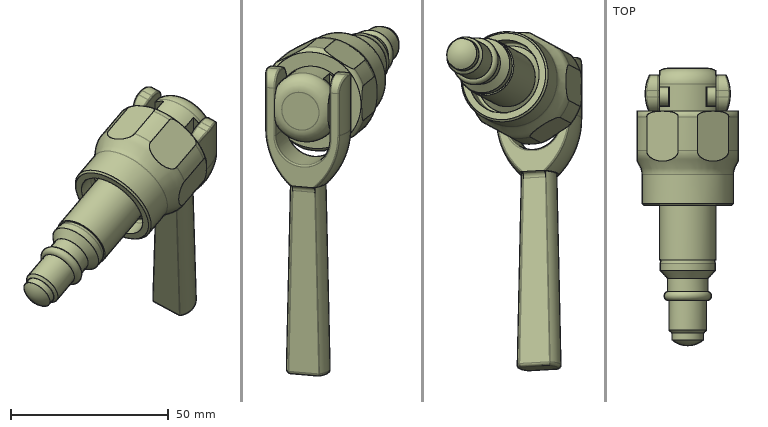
import cadquery as cq
import math


TOTAL_LENGTH = 87.86
TOTAL_HEIGHT = 104.8
KNOB_END_Y = 13.5
TIP_Y = KNOB_END_Y - TOTAL_LENGTH

NUT_FLATS = 32.0
NUT_R = 17.0
NUT_BACK_R = 15.8
NUT_BACK_ROUND_Y = -1.9
NUT_BACK_BULGE = 0.25
NUT_STRAIGHT_END_Y = -12.6
SLEEVE_R = 29.0 / 2
SLEEVE_START_Y = -20.1
SLEEVE_END_Y = -29.9
SLEEVE_CHAMFER = 0.6
BORE_R = 23.4 / 2
BORE_FLOOR_Y = -23.8
BORE_FLOOR_R = 10.8
SHAFT_FLARE_Y = -25.6

SHAFT_R = 18.0 / 2
SHAFT_END_Y = -47.2
COLLAR_R = 17.5 / 2
COLLAR_LEAD_R = 8.5
COLLAR_LEAD_Y = -48.3
COLLAR_END_Y = -50.5
NECK_R = 12.9 / 2
NECK_START_Y = -53.0
RING_CENTER_Y = -58.6
RING_SECTION_R = 3.0 / 2
RING_R = 15.0 / 2
NOSE_R = 12.0 / 2
NOSE_END_Y = -69.4
NOSE_CHAMFER = 0.9
TIP_R = 10.0 / 2
TIP_DOME = 1.9

KNOB_R = 11.2
KNOB_FILLET = 5.0
KNOB_FLATS = 17.8
PIN_Y = 4.5
PIN_R = 6.0 / 2
PIN_INNER_X = 6.1
PIN_EMBED = 1.0
SLOT_WIDTH = 6.2
SLOT_FLOOR_X = 5.75

LEVER_Y = 5.4
FORK_THICKNESS = 12.0
FORK_HALF_WIDTH = 13.5
FORK_SIDE_BULGE = 1.4
FORK_ARC_R = 25.0
FORK_ARC_Z = -7.6
FORK_TOP_Z = 11.2
FORK_TOP_ROUND = 5.0
FORK_BOTTOM_Z = -25.4
FORK_SLOT_R = 18.0 / 2
FORK_SLOT_Z = -9.4
FORK_EDGE_ROUND = 0.5
HANDLE_THICKNESS = 9.2
HANDLE_SIDE_BULGE = 1.9
HANDLE_TOP_HALF_WIDTH = 5.6
HANDLE_BOTTOM_HALF_WIDTH = 7.0
HANDLE_BOTTOM_Z = NUT_R - TOTAL_HEIGHT
HANDLE_END_ROUND = 1.0
HANDLE_EDGE_ROUND = 0.3
SHOULDER_HEIGHT = 0.9
SHOULDER_ROUND = 1.8
SHOULDER_DEPTH = 2.0


def revolve_about_shaft(profile):
    """Turn a closed profile, drawn as (radius, y), about the Y axis."""
    return profile.close().revolve(360, (0, 0, 0), (0, 1, 0))


def box(x_range, y_range, z_range):
    """Box spanning the given coordinate ranges."""
    (x0, x1), (y0, y1), (z0, z1) = x_range, y_range, z_range
    return cq.Workplane("XY").box(x1 - x0, y1 - y0, z1 - z0, centered=False).translate((x0, y0, z0))


def make_nut():
    """Hexagon nut that narrows in a smooth curve to a bored round sleeve."""
    back_mid = ((NUT_R + NUT_BACK_R) / 2 + NUT_BACK_BULGE, NUT_BACK_ROUND_Y / 2 + NUT_BACK_BULGE)
    floor_round = BORE_R - BORE_FLOOR_R
    nut = revolve_about_shaft(
        cq.Workplane("XY")
        .lineTo(NUT_BACK_R, 0)
        .threePointArc(back_mid, (NUT_R, NUT_BACK_ROUND_Y))
        .lineTo(NUT_R, NUT_STRAIGHT_END_Y)
        .spline([(SLEEVE_R, SLEEVE_START_Y)], tangents=[(0, -1), (0, -1)], includeCurrent=True)
        .lineTo(SLEEVE_R, SLEEVE_END_Y + SLEEVE_CHAMFER)
        .lineTo(SLEEVE_R - SLEEVE_CHAMFER, SLEEVE_END_Y)
        .lineTo(BORE_R, SLEEVE_END_Y)
        .lineTo(BORE_R, BORE_FLOOR_Y - floor_round)
        .radiusArc((BORE_FLOOR_R, BORE_FLOOR_Y), -floor_round)
        .lineTo(SHAFT_R, SHAFT_FLARE_Y)
        .lineTo(0, SHAFT_FLARE_Y)
    )
    hexagon = cq.Workplane("XZ").polygon(6, NUT_FLATS, circumscribed=True).extrude(-SLEEVE_END_Y)
    return nut.intersect(hexagon)


def dome_point():
    """Point on the tip dome halfway between its rim and its centre."""
    sphere_r = (TIP_R**2 + TIP_DOME**2) / (2 * TIP_DOME)
    half_angle = math.asin(TIP_R / sphere_r) / 2
    return (sphere_r * math.sin(half_angle), TIP_Y + sphere_r * (1 - math.cos(half_angle)))


def make_shaft():
    """Stepped shaft with a sealing ring and a domed tip."""
    shaft = revolve_about_shaft(
        cq.Workplane("XY")
        .lineTo(SHAFT_R, 0)
        .lineTo(SHAFT_R, SHAFT_END_Y)
        .lineTo(COLLAR_LEAD_R, SHAFT_END_Y)
        .lineTo(COLLAR_R, COLLAR_LEAD_Y)
        .lineTo(COLLAR_R, COLLAR_END_Y)
        .lineTo(NECK_R, NECK_START_Y)
        .lineTo(NECK_R, RING_CENTER_Y)
        .lineTo(NOSE_R, RING_CENTER_Y)
        .lineTo(NOSE_R, NOSE_END_Y)
        .lineTo(NOSE_R - NOSE_CHAMFER, NOSE_END_Y - NOSE_CHAMFER)
        .lineTo(TIP_R, NOSE_END_Y - NOSE_CHAMFER)
        .lineTo(TIP_R, TIP_Y + TIP_DOME)
        .threePointArc(dome_point(), (0, TIP_Y))
    )
    ring_center_r = RING_R - RING_SECTION_R
    ring = revolve_about_shaft(
        cq.Workplane("XY")
        .moveTo(ring_center_r, RING_CENTER_Y - RING_SECTION_R)
        .threePointArc((RING_R, RING_CENTER_Y), (ring_center_r, RING_CENTER_Y + RING_SECTION_R))
    )
    return shaft.union(ring)


def make_knob():
    """Round knob with two side flats and an open-topped pin slot in each flat."""
    knob = cq.Workplane("XZ").circle(KNOB_R).extrude(-KNOB_END_Y).faces(">Y").edges().fillet(KNOB_FILLET)
    knob = knob.intersect(cq.Workplane("XY").box(KNOB_FLATS, 4 * KNOB_END_Y, 4 * KNOB_R))
    slot_y = (PIN_Y - SLOT_WIDTH / 2, PIN_Y + SLOT_WIDTH / 2)
    for side in (-1, 1):
        x_range = sorted((side * SLOT_FLOOR_X, side * KNOB_R))
        slot = box(x_range, slot_y, (0, KNOB_R))
        slot_end = (
            cq.Workplane("YZ", origin=(x_range[0], PIN_Y, 0))
            .circle(SLOT_WIDTH / 2)
            .extrude(x_range[1] - x_range[0])
        )
        knob = knob.cut(slot).cut(slot_end)
    return knob


def bulged_section(half_width, thickness, bulge, z):
    """Flat-faced lever section with bulged sides, drawn at height z."""
    half_thickness = thickness / 2
    edge = half_width - bulge
    return (
        cq.Workplane("XY", origin=(0, LEVER_Y, z))
        .moveTo(-edge, -half_thickness)
        .lineTo(edge, -half_thickness)
        .threePointArc((half_width, 0), (edge, half_thickness))
        .lineTo(-edge, half_thickness)
        .threePointArc((-half_width, 0), (-edge, -half_thickness))
        .close()
    )


def make_fork_arc(side):
    """Disc with a bulged rim whose edge forms the lower side of the fork."""
    rim = FORK_ARC_R - FORK_SIDE_BULGE
    half_thickness = FORK_THICKNESS / 2
    return (
        cq.Workplane("XY")
        .moveTo(0, -half_thickness)
        .lineTo(rim, -half_thickness)
        .threePointArc((FORK_ARC_R, 0), (rim, half_thickness))
        .lineTo(0, half_thickness)
        .close()
        .revolve(360, (0, 0, 0), (0, 1, 0))
        .translate((side * (FORK_HALF_WIDTH - FORK_ARC_R), LEVER_Y, FORK_ARC_Z))
    )


def make_fork():
    """Two rounded arms around the knob that join below it."""
    arms = bulged_section(FORK_HALF_WIDTH, FORK_THICKNESS, FORK_SIDE_BULGE, FORK_ARC_Z).extrude(
        FORK_TOP_Z - FORK_ARC_Z
    )
    top_round = (
        cq.Workplane("XY")
        .box(4 * FORK_HALF_WIDTH, FORK_THICKNESS, 2 * FORK_TOP_Z)
        .translate((0, LEVER_Y, 0))
        .edges("|X and >Z")
        .fillet(FORK_TOP_ROUND)
    )
    arms = arms.intersect(top_round)
    y_range = (LEVER_Y - FORK_THICKNESS, LEVER_Y + FORK_THICKNESS)
    x_range = (-FORK_HALF_WIDTH, FORK_HALF_WIDTH)
    crotch = make_fork_arc(1).intersect(make_fork_arc(-1))
    crotch = crotch.intersect(box(x_range, y_range, (FORK_BOTTOM_Z, FORK_ARC_Z)))
    slot = (
        cq.Workplane("XZ", origin=(0, LEVER_Y + FORK_THICKNESS, 0))
        .moveTo(-FORK_SLOT_R, FORK_TOP_Z)
        .lineTo(-FORK_SLOT_R, FORK_SLOT_Z)
        .threePointArc((0, FORK_SLOT_Z - FORK_SLOT_R), (FORK_SLOT_R, FORK_SLOT_Z))
        .lineTo(FORK_SLOT_R, FORK_TOP_Z)
        .close()
        .extrude(2 * FORK_THICKNESS)
    )
    fork = arms.union(crotch).cut(slot)
    return fork.faces("<Y or >Y").edges("not |X").fillet(FORK_EDGE_ROUND)


def make_shoulder():
    """Sloped step, hollow at its foot, from the fork down to the thinner handle."""
    half_width = HANDLE_TOP_HALF_WIDTH - HANDLE_SIDE_BULGE
    foot_z = FORK_BOTTOM_Z - SHOULDER_HEIGHT
    foot_low = (-FORK_THICKNESS, LEVER_Y - FORK_THICKNESS, foot_z - SHOULDER_HEIGHT / 2)
    foot_high = (FORK_THICKNESS, LEVER_Y + FORK_THICKNESS, foot_z + SHOULDER_HEIGHT / 2)
    return (
        cq.Workplane("YZ", origin=(-half_width, LEVER_Y, FORK_BOTTOM_Z))
        .moveTo(-FORK_THICKNESS / 2, 0)
        .lineTo(FORK_THICKNESS / 2, 0)
        .lineTo(HANDLE_THICKNESS / 2, -SHOULDER_HEIGHT)
        .lineTo(HANDLE_THICKNESS / 2, -SHOULDER_DEPTH)
        .lineTo(-HANDLE_THICKNESS / 2, -SHOULDER_DEPTH)
        .lineTo(-HANDLE_THICKNESS / 2, -SHOULDER_HEIGHT)
        .close()
        .extrude(2 * half_width)
        .edges(cq.selectors.BoxSelector(foot_low, foot_high))
        .fillet(SHOULDER_ROUND)
    )


def make_handle():
    """Slightly widening grip with bulged sides and a rounded lower end."""
    top = bulged_section(HANDLE_TOP_HALF_WIDTH, HANDLE_THICKNESS, HANDLE_SIDE_BULGE, FORK_BOTTOM_Z)
    bottom = bulged_section(HANDLE_BOTTOM_HALF_WIDTH, HANDLE_THICKNESS, HANDLE_SIDE_BULGE, HANDLE_BOTTOM_Z)
    handle = cq.Workplane("XY").add(
        cq.Solid.makeLoft([top.wire().val(), bottom.wire().val()], True)
    )
    handle = handle.faces("<Z").edges().fillet(HANDLE_END_ROUND)
    return handle.faces("<Y or >Y").edges("not #Z").fillet(HANDLE_EDGE_ROUND)


def make_pins():
    """Pins that reach from the fork arms into the knob slots."""
    pin_length = FORK_SLOT_R + PIN_EMBED - PIN_INNER_X
    pin = cq.Workplane("YZ", origin=(PIN_INNER_X, PIN_Y, 0)).circle(PIN_R).extrude(pin_length)
    return pin.union(pin.mirror("YZ"))


result = make_nut().union(make_shaft()).union(make_knob())
result = result.union(make_fork().union(make_shoulder()).union(make_handle()).union(make_pins()))